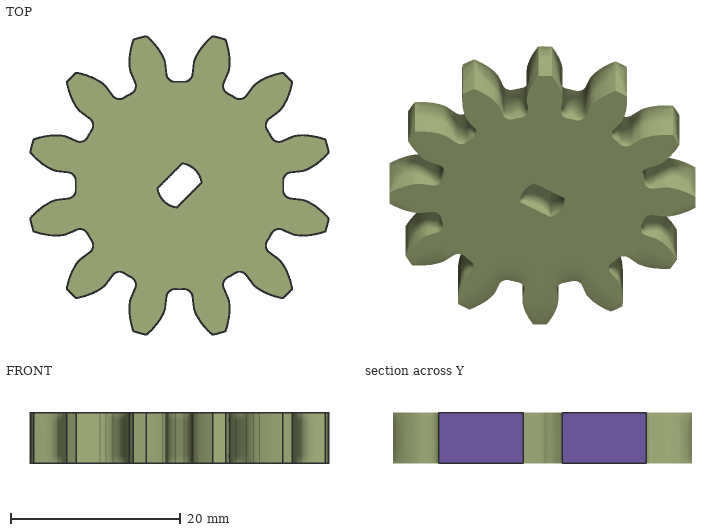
import cadquery as cq
import math

overall_width = 35.28
thickness = 6.0
tooth_count = 12
pressure_angle = math.radians(20)
addendum_factor = 1.0
dedendum_factor = 1.25
root_fillet_radius = 1.0
bore_diameter = 5.22
bore_flat_distance = 3.2
bore_angle = 45.0
curve_points = 7


def involute(angle):
    return math.tan(angle) - angle


pitch_angle = 2 * math.pi / tooth_count
half_pitch_angle = pitch_angle / 2
base_half_angle = half_pitch_angle / 2 + involute(pressure_angle)
base_factor = tooth_count / 2 * math.cos(pressure_angle)
tip_factor = tooth_count / 2 + addendum_factor
tip_half_angle = base_half_angle - involute(math.acos(base_factor / tip_factor))

module = overall_width / (2 * tip_factor * math.cos(half_pitch_angle - tip_half_angle))
pitch_radius = tooth_count / 2 * module
base_radius = base_factor * module
tip_radius = tip_factor * module
root_radius = pitch_radius - dedendum_factor * module


def polar(radius, angle):
    return (radius * math.cos(angle), radius * math.sin(angle))


def involute_curve(start_radius, end_radius, tooth_angle, side):
    """Points along an involute flank; side is -1 or +1 across the tooth."""
    points = []
    for i in range(curve_points):
        radius = start_radius + (end_radius - start_radius) * i / (curve_points - 1)
        unwind_angle = math.acos(min(1.0, base_radius / radius))
        half_angle = base_half_angle - involute(unwind_angle)
        points.append(polar(radius, tooth_angle + side * half_angle))
    return points


def gear_blank():
    """Toothed disc; flanks are involute above the base circle and radial below it."""
    outline = cq.Workplane("XY").moveTo(*polar(root_radius, half_pitch_angle - base_half_angle))
    for i in range(tooth_count):
        tooth_angle = half_pitch_angle + i * pitch_angle
        lower_rise = involute_curve(base_radius, pitch_radius, tooth_angle, -1)
        upper_rise = involute_curve(pitch_radius, tip_radius, tooth_angle, -1)
        upper_fall = involute_curve(tip_radius, pitch_radius, tooth_angle, 1)
        lower_fall = involute_curve(pitch_radius, base_radius, tooth_angle, 1)
        outline = (
            outline.lineTo(*lower_rise[0])
            .spline(lower_rise[1:], includeCurrent=True)
            .spline(upper_rise[1:], includeCurrent=True)
            .threePointArc(polar(tip_radius, tooth_angle), upper_fall[0])
            .spline(upper_fall[1:], includeCurrent=True)
            .spline(lower_fall[1:], includeCurrent=True)
            .lineTo(*polar(root_radius, tooth_angle + base_half_angle))
            .threePointArc(
                polar(root_radius, tooth_angle + half_pitch_angle),
                polar(root_radius, tooth_angle + pitch_angle - base_half_angle),
            )
        )
    blank = outline.close().extrude(thickness)
    root_limit = (root_radius + base_radius) / 2
    root_corners = [
        edge for edge in blank.edges("|Z").vals()
        if math.hypot(edge.Center().x, edge.Center().y) < root_limit
    ]
    return blank.newObject(root_corners).fillet(root_fillet_radius)


def double_flat_bore():
    """Round through bore trimmed by two parallel flats."""
    round_bore = cq.Workplane("XY").circle(bore_diameter / 2).extrude(thickness)
    flats = cq.Workplane("XY").rect(bore_diameter, bore_flat_distance).extrude(thickness)
    return round_bore.intersect(flats).rotate((0, 0, 0), (0, 0, 1), bore_angle)


result = gear_blank().cut(double_flat_bore())